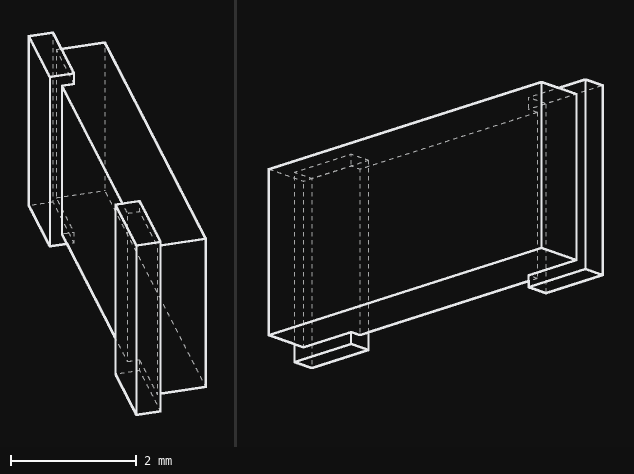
import cadquery as cq

body_length = 6.0
body_thickness = 1.0
body_height = 2.8

terminal_overhang = 0.2
terminal_width = 1.25
terminal_thickness = 0.4

overall_length = body_length + 2 * terminal_overhang
terminal_height = body_height + 2 * terminal_overhang
terminal_center_x = (overall_length - terminal_width) / 2


def block(length, thickness, height, center_x, front_y):
    """Box centred on center_x and on Z = 0, reaching back in +Y from front_y."""
    box = cq.Workplane("XY").box(length, thickness, height, centered=(True, False, True))
    return box.translate((center_x, front_y, 0))


def terminal(side):
    """End terminal on the -X side (side = -1) or the +X side (side = 1)."""
    return block(terminal_width, terminal_thickness, terminal_height, side * terminal_center_x, 0)


result = block(body_length, body_thickness, body_height, 0, terminal_overhang)
for side in (-1, 1):
    result = result.union(terminal(side))